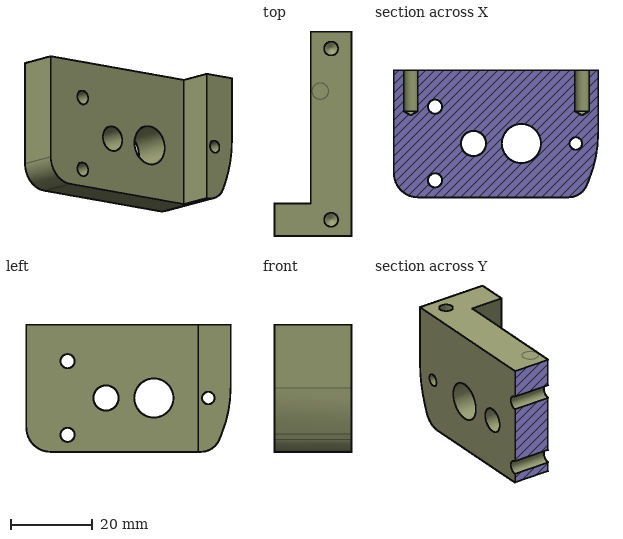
import math

import cadquery as cq

length = 50.0
height = 31.12
plate_thickness = 10.0
overall_width = 18.85
foot_length = 8.0
bottom_z = -height

rear_corner_radius = 6.0
front_corner_radius = 5.0
front_flat_height = 15.37
bow_radius = 30.0
bow_angle = math.radians(22.0)

hole_row_z = -17.92
row_holes = [
    (3.0, 5.5),
    (9.5, 18.8),
    (6.1, 30.5),
]
screw_hole_diameter = 3.4
screw_hole_y = 39.9
screw_hole_offset_z = 9.0

top_hole_diameter = 3.4
top_hole_depth = 10.0
drill_point_angle = 118.0
top_hole_x = -plate_thickness / 2
top_hole_front_y = 4.0
top_hole_spacing = 41.85

plug_diameter = 4.0
plug_depth = 2.0
plug_x = -7.7
plug_y = 35.5


def bow_point(angle):
    """Point (y, z) on the bowed end, at an angle below its upper tangent point."""
    y = bow_radius * (1 - math.cos(angle))
    z = -front_flat_height - bow_radius * math.sin(angle)
    return y, z


def extrude_across(sketch):
    """Extrude a YZ sketch over the whole width, from the +X face toward -X."""
    return sketch.extrude(-overall_width)


def make_body():
    """Side outline over the full width, cut back to an L-shaped plan."""
    bow_middle = bow_point(bow_angle / 2)
    bow_end = bow_point(bow_angle)
    lower_tip_y = bow_end[0] + (bow_end[1] - bottom_z) * math.tan(bow_angle)
    outline = (
        cq.Workplane("YZ")
        .moveTo(0, 0)
        .lineTo(0, -front_flat_height)
        .threePointArc(bow_middle, bow_end)
        .lineTo(lower_tip_y, bottom_z)
        .lineTo(length, bottom_z)
        .lineTo(length, 0)
        .close()
    )
    body = extrude_across(outline)
    body = body.edges("|X").edges("<Z").edges("<Y").fillet(front_corner_radius)
    body = body.edges("|X").edges("<Z").edges(">Y").fillet(rear_corner_radius)
    relief = cq.Workplane("XY").box(
        overall_width - plate_thickness, length - foot_length, height, centered=False
    )
    return body.cut(relief.translate((-overall_width, foot_length, bottom_z)))


def cross_hole(diameter, y, z):
    """Cutter for a hole along X through the whole width."""
    return extrude_across(cq.Workplane("YZ").center(y, z).circle(diameter / 2))


def drilled_hole(y):
    """Cutter for a vertical blind hole with a conical drill point."""
    radius = top_hole_diameter / 2
    point_length = radius / math.tan(math.radians(drill_point_angle / 2))
    profile = (
        cq.Workplane("XZ")
        .moveTo(0, 0)
        .lineTo(radius, 0)
        .lineTo(radius, -top_hole_depth)
        .lineTo(0, -top_hole_depth - point_length)
        .close()
    )
    return profile.revolve(360, (0, 0), (0, 1)).translate((top_hole_x, y, 0))


def make_plug():
    """Cylinder filling the flush round pocket in the top face."""
    return cq.Workplane("XY").center(plug_x, plug_y).circle(plug_diameter / 2).extrude(-plug_depth)


result = make_body()

for hole_diameter, hole_y in row_holes:
    result = result.cut(cross_hole(hole_diameter, hole_y, hole_row_z))

for side in (-1, 1):
    screw_hole_z = hole_row_z + side * screw_hole_offset_z
    result = result.cut(cross_hole(screw_hole_diameter, screw_hole_y, screw_hole_z))

for top_hole_y in (top_hole_front_y, top_hole_front_y + top_hole_spacing):
    result = result.cut(drilled_hole(top_hole_y))

result = result.union(make_plug(), clean=False)